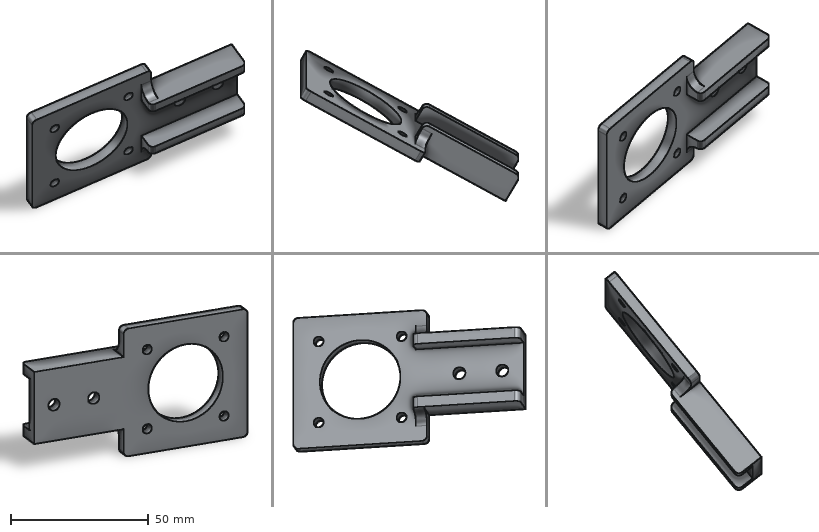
import cadquery as cq

length = 86.0
plate_side = 50.0
thickness = 4.1
corner_radius = 2.0
bore_diameter = 30.0
plate_hole_spacing = 31.0
plate_hole_diameter = 3.6

arm_height = 28.2
arm_depth = 11.0
wall_thickness = 4.0
wall_overlap = 4.1
web_fillet_radius = 5.0
arm_hole_diameter = 4.5
end_to_first_hole = 8.0
arm_hole_pitch = 16.0

plate_edge = plate_side / 2
arm_end = length - plate_edge
wall_start = plate_edge - wall_overlap
wall_length = arm_end - wall_start


def make_plate():
    return (
        cq.Workplane("YZ")
        .rect(plate_side, plate_side)
        .extrude(thickness)
        .edges("|X")
        .fillet(corner_radius)
    )


def make_arm_web():
    return cq.Workplane("XY").box(
        thickness, wall_length, arm_height, centered=(False, False, True)
    ).translate((0, wall_start, 0))


def make_wall():
    """Upper side wall, with its free corners rounded."""
    return (
        cq.Workplane("XY")
        .box(arm_depth, wall_length, wall_thickness, centered=False)
        .edges("|Z and >X")
        .fillet(corner_radius)
        .translate((0, wall_start, arm_height / 2 - wall_thickness))
    )


def make_root_fillet():
    """Concave web joining the plate to the outside of the upper wall."""
    base_z = arm_height / 2
    reach = thickness + web_fillet_radius
    diagonal = web_fillet_radius * (1 - 0.5**0.5)
    return (
        cq.Workplane("XZ", origin=(0, plate_edge, 0))
        .moveTo(thickness, base_z)
        .lineTo(reach, base_z)
        .threePointArc(
            (thickness + diagonal, base_z + diagonal),
            (thickness, base_z + web_fillet_radius),
        )
        .close()
        .extrude(wall_overlap)
    )


def make_hole_cutter(points, diameter):
    return cq.Workplane("YZ").pushPoints(points).circle(diameter / 2).extrude(thickness)


upper_side = make_wall().union(make_root_fillet())
body = make_plate().union(make_arm_web()).union(upper_side).union(upper_side.mirror("XY"))

hole_offset = plate_hole_spacing / 2
plate_holes = [(y, z) for y in (-hole_offset, hole_offset) for z in (-hole_offset, hole_offset)]
first_hole = arm_end - end_to_first_hole
arm_holes = [(first_hole, 0), (first_hole - arm_hole_pitch, 0)]

result = (
    body.cut(make_hole_cutter([(0, 0)], bore_diameter))
    .cut(make_hole_cutter(plate_holes, plate_hole_diameter))
    .cut(make_hole_cutter(arm_holes, arm_hole_diameter))
)